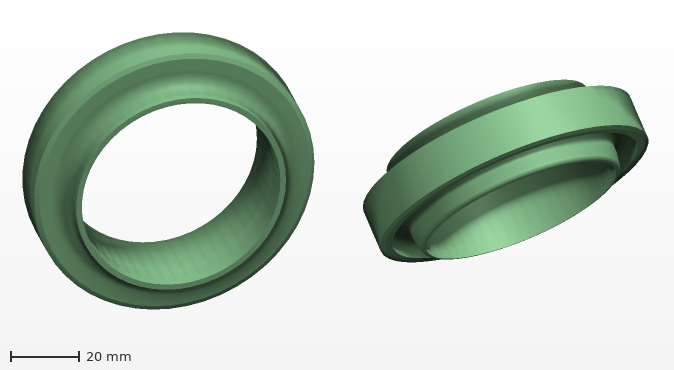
import cadquery as cq
import math

length = 26.3
flange_start = 4.85
flange_end = 19.2
lip_round_end = 1.5

outer_radius = 85.2 / 2
bore_radius = 60.3 / 2
neck_radius = 63.7 / 2
lip_base_radius = 65.0 / 2
groove_outer_radius = 77.8 / 2

chamfer_axial = 0.6
chamfer_radial = 1.45
lip_land = 0.2
fillet_radius = 4.5

groove_wall_depth = 1.6
groove_floor_start = flange_start + groove_wall_depth
groove_radius = (groove_outer_radius - lip_base_radius) / 2
groove_center_radius = lip_base_radius + groove_radius

lip_land_radius = bore_radius + lip_land
lip_round_radial = neck_radius - lip_land_radius
lip_mid = (
    lip_round_end * (1 - math.sqrt(0.5)),
    lip_land_radius + lip_round_radial * math.sqrt(0.5),
)

fillet_reach = fillet_radius * (1 - math.sqrt(0.5))
fillet_mid = (flange_end + fillet_reach, neck_radius + fillet_reach)

profile = (
    cq.Workplane("XY")
    .moveTo(0, bore_radius)
    .lineTo(0, lip_land_radius)
    .threePointArc(lip_mid, (lip_round_end, neck_radius))
    .lineTo(flange_start, lip_base_radius)
    .lineTo(groove_floor_start, lip_base_radius)
    .threePointArc(
        (groove_floor_start + groove_radius, groove_center_radius),
        (groove_floor_start, groove_outer_radius),
    )
    .lineTo(flange_start, groove_outer_radius)
    .lineTo(flange_start, outer_radius - chamfer_radial)
    .lineTo(flange_start + chamfer_axial, outer_radius)
    .lineTo(flange_end - chamfer_axial, outer_radius)
    .lineTo(flange_end, outer_radius - chamfer_radial)
    .lineTo(flange_end, neck_radius + fillet_radius)
    .threePointArc(fillet_mid, (flange_end + fillet_radius, neck_radius))
    .lineTo(length, neck_radius)
    .lineTo(length, bore_radius)
    .close()
)

result = profile.revolve(360, (0, 0, 0), (1, 0, 0))